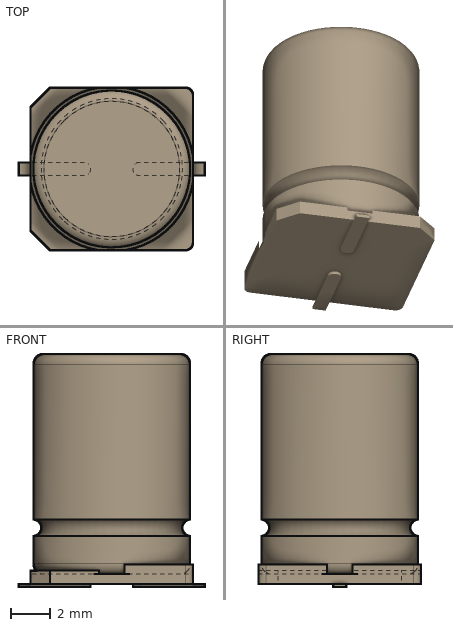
import cadquery as cq
import math

OVERALL_LENGTH = 9.5
TERMINAL_WIDTH = 0.68
TERMINAL_THICKNESS = 0.15
TERMINAL_INNER_GAP = 2.15

BASE_SIZE = 8.3
BASE_BOTTOM = TERMINAL_THICKNESS
BASE_LOW_TOP = 0.84
BASE_HIGH_TOP = 1.16
BASE_CHAMFER = 1.0
BASE_CORNER_RADIUS = 0.4

SEAT_OPENING_WIDTH = 1.3
SEAT_RADIUS = math.hypot(BASE_SIZE / 2, SEAT_OPENING_WIDTH / 2)
SEAT_FLOOR = 0.66

OVERALL_HEIGHT = 11.9
CAN_RADIUS = 8.0 / 2
CAN_END_RADIUS = 0.54
GROOVE_CENTER_HEIGHT = 3.03
GROOVE_WIDTH = 0.84
GROOVE_DEPTH = 0.4


def make_base():
    """Square plate, chamfered on the -X corners and rounded on the +X corners."""
    plate = (
        cq.Workplane("XY", origin=(0, 0, BASE_BOTTOM))
        .rect(BASE_SIZE, BASE_SIZE)
        .extrude(BASE_HIGH_TOP - BASE_BOTTOM)
    )
    plate = plate.edges("|Z and <X").chamfer(BASE_CHAMFER)
    plate = plate.edges("|Z and >X").fillet(BASE_CORNER_RADIUS)

    low_half_clearance = (
        cq.Workplane("XY", origin=(-BASE_SIZE / 4, 0, BASE_LOW_TOP))
        .rect(BASE_SIZE / 2, BASE_SIZE)
        .extrude(BASE_HIGH_TOP - BASE_LOW_TOP)
    )
    seat = (
        cq.Workplane("XY", origin=(0, 0, SEAT_FLOOR))
        .circle(SEAT_RADIUS)
        .extrude(BASE_HIGH_TOP - SEAT_FLOOR)
    )
    return plate.cut(low_half_clearance).cut(seat)


def make_can():
    """Cylinder standing on the seat floor, with rounded ends and the crimp groove."""
    can = (
        cq.Workplane("XY", origin=(0, 0, SEAT_FLOOR))
        .circle(CAN_RADIUS)
        .extrude(OVERALL_HEIGHT - SEAT_FLOOR)
        .edges("%CIRCLE")
        .fillet(CAN_END_RADIUS)
    )
    groove_bottom = GROOVE_CENTER_HEIGHT - GROOVE_WIDTH / 2
    groove_top = GROOVE_CENTER_HEIGHT + GROOVE_WIDTH / 2
    groove = (
        cq.Workplane("XZ")
        .moveTo(CAN_RADIUS, groove_bottom)
        .threePointArc(
            (CAN_RADIUS - GROOVE_DEPTH, GROOVE_CENTER_HEIGHT),
            (CAN_RADIUS, groove_top),
        )
        .close()
        .revolve(360, (0, 0), (0, 1))
    )
    return can.cut(groove)


def make_terminal(side):
    """Flat tab along X on the given side (-1 or +1), with a full round inner end."""
    round_radius = TERMINAL_WIDTH / 2
    outer_x = side * OVERALL_LENGTH / 2
    inner_x = side * TERMINAL_INNER_GAP / 2
    round_start_x = inner_x + side * round_radius
    return (
        cq.Workplane("XY")
        .moveTo(outer_x, -round_radius)
        .lineTo(round_start_x, -round_radius)
        .threePointArc((inner_x, 0), (round_start_x, round_radius))
        .lineTo(outer_x, round_radius)
        .close()
        .extrude(TERMINAL_THICKNESS)
    )


result = make_base().union(make_can())
for terminal_side in (-1, 1):
    result = result.union(make_terminal(terminal_side))